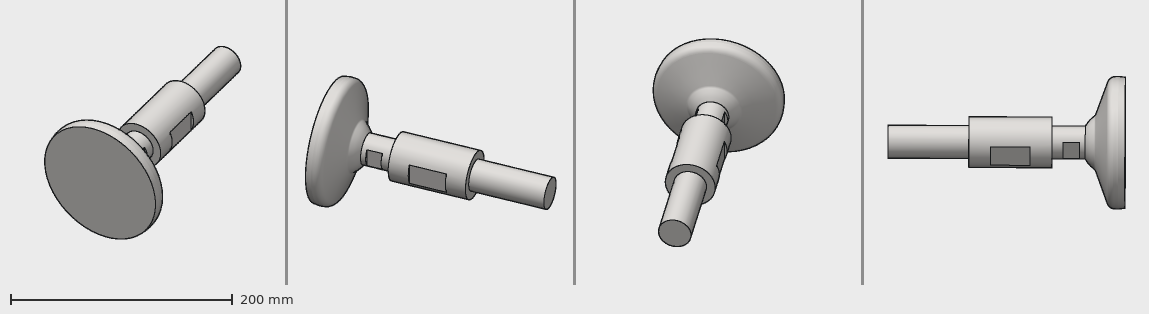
import cadquery as cq
import math


plate_radius = 60.0
sole_radius = 59.2
shoulder_radius = 59.8
widest_height = 6.0
rim_fillet = 7.5
rim_height = 9.0
cone_angle = math.radians(20.0)

neck_radius = 30.0
neck_centre = 10.0
neck_fillet = 4.0

stem_radius = 15.0
overall_length = 214.0
stem_flats_start = 41.0
stem_flats_length = 15.0
stem_across_flats = 24.0

sleeve_radius = 23.0
sleeve_start = 66.0
sleeve_length = 75.0
sleeve_flats_length = 36.0
sleeve_across_flats = 41.0
sleeve_flats_start = sleeve_start + (sleeve_length - sleeve_flats_length) / 2


def flat_cutters(radius, across_flats, start, length):
    """Two blocks that cut flats facing -X and +X into a bar of the given radius."""
    depth = radius - across_flats / 2
    offset = across_flats / 2 + depth / 2
    return (
        cq.Workplane("XY")
        .pushPoints([(-offset, start + length / 2), (offset, start + length / 2)])
        .box(depth, length, 2 * radius)
    )


def point_at(centre, radius, angle):
    """Point of a circle in the profile plane, with the angle measured from the radial direction."""
    return (centre[0] + radius * math.cos(angle), centre[1] + radius * math.sin(angle))


def make_foot():
    """Plate, neck and stem turned as one profile, then the stem flats."""
    cone_normal = math.pi / 2 - cone_angle

    rim_centre = (shoulder_radius - rim_fillet, rim_height)
    rim_middle = point_at(rim_centre, rim_fillet, cone_normal / 2)
    cone_bottom = point_at(rim_centre, rim_fillet, cone_normal)

    cone_offset = (
        cone_bottom[0] * math.cos(cone_normal)
        + (cone_bottom[1] - neck_centre) * math.sin(cone_normal)
    )
    centre_distance = neck_radius + neck_fillet
    contact_angle = cone_normal - math.acos((cone_offset + neck_fillet) / centre_distance)
    blend_centre = point_at((0, neck_centre), centre_distance, contact_angle)
    cone_top = point_at(blend_centre, -neck_fillet, cone_normal)
    blend_middle = point_at(blend_centre, -neck_fillet, (cone_normal + contact_angle) / 2)
    neck_bottom = point_at((0, neck_centre), neck_radius, contact_angle)

    stem_angle = math.acos(stem_radius / neck_radius)
    neck_middle = point_at((0, neck_centre), neck_radius, (contact_angle + stem_angle) / 2)
    neck_top = point_at((0, neck_centre), neck_radius, stem_angle)

    turned = (
        cq.Workplane("XY")
        .lineTo(sole_radius, 0)
        .lineTo(plate_radius, widest_height)
        .lineTo(shoulder_radius, rim_height)
        .threePointArc(rim_middle, cone_bottom)
        .lineTo(*cone_top)
        .threePointArc(blend_middle, neck_bottom)
        .threePointArc(neck_middle, neck_top)
        .lineTo(stem_radius, overall_length)
        .lineTo(0, overall_length)
        .close()
        .revolve(360, (0, 0, 0), (0, 1, 0))
    )
    return turned.cut(flat_cutters(stem_radius, stem_across_flats, stem_flats_start, stem_flats_length))


def make_sleeve():
    """Tube that fits closely round the stem, with its wrench flats."""
    tube = (
        cq.Workplane("XZ", origin=(0, sleeve_start, 0))
        .circle(sleeve_radius)
        .circle(stem_radius)
        .extrude(-sleeve_length)
    )
    return tube.cut(
        flat_cutters(sleeve_radius, sleeve_across_flats, sleeve_flats_start, sleeve_flats_length)
    )


foot = make_foot()
sleeve = make_sleeve()
result = cq.Compound.makeCompound([foot.val(), sleeve.val()])